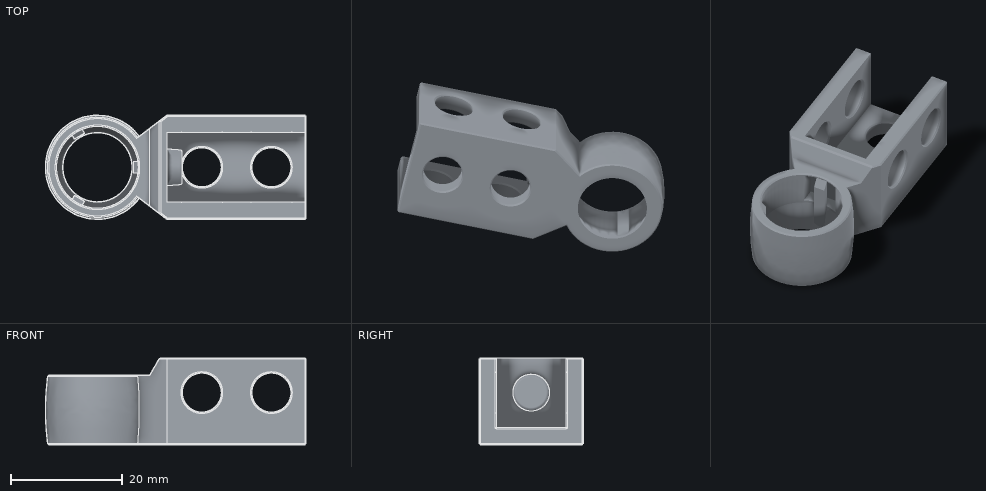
import cadquery as cq
import math

FORK_END_X = 37.5
FORK_START_X = 12.5
FORK_WIDTH = 18.75
FORK_HEIGHT = 15.625
CHEEK_THICKNESS = 3.125
BASE_THICKNESS = 3.125
SLOT_WIDTH = FORK_WIDTH - 2 * CHEEK_THICKNESS
EDGE_CHAMFER = 0.25

HOLE_DIAMETER = 7.0
HOLE_CHAMFER = 0.25
HOLE_POSITIONS_X = (18.75, 31.25)
HOLE_AXIS_Z = (BASE_THICKNESS + FORK_HEIGHT) / 2

RING_HEIGHT = 12.5
RING_MID_RADIUS = 9.375
RING_END_RADIUS = 9.0

BORE_RADIUS = 7.35
BORE_BOTTOM_RADIUS = 6.2
BORE_SHOULDER_Z = 5.5

NECK_START_X = 6.25
NECK_START_HALF_WIDTH = 4.6
NECK_SLOPE_START_X = 9.375
NECK_SLOPE_ANGLE = 60.0

POCKET_HALF_WIDTH = 3.25
POCKET_END_X = 9.25
POCKET_TOP_Z = 12.0
POCKET_FLOOR_Z = 6.0

CATCH_COUNT = 3
CATCH_WIDTH = 2.1
CATCH_INNER_RADIUS = 6.45
CATCH_OUTER_RADIUS = 7.4
CATCH_SLOPE_Z = 10.4
CATCH_TOP_Z = 11.9

BOSS_RADIUS = 3.3
BOSS_TIP_RADIUS = 3.1
BOSS_LENGTH = 2.7
BOSS_TIP_FILLET = 0.4


def make_fork_and_neck():
    """Fork body with its tapering neck cut down to the ring, chamfered at top, bottom and fork end."""
    half_width = FORK_WIDTH / 2
    body = (
        cq.Workplane("XY")
        .moveTo(NECK_START_X, -NECK_START_HALF_WIDTH)
        .lineTo(FORK_START_X, -half_width)
        .lineTo(FORK_END_X, -half_width)
        .lineTo(FORK_END_X, half_width)
        .lineTo(FORK_START_X, half_width)
        .lineTo(NECK_START_X, NECK_START_HALF_WIDTH)
        .close()
        .extrude(FORK_HEIGHT)
    )
    slope_run = (FORK_HEIGHT - RING_HEIGHT) / math.tan(math.radians(NECK_SLOPE_ANGLE))
    neck_relief = (
        cq.Workplane("XZ")
        .moveTo(0, RING_HEIGHT)
        .lineTo(NECK_SLOPE_START_X, RING_HEIGHT)
        .lineTo(NECK_SLOPE_START_X + slope_run, FORK_HEIGHT)
        .lineTo(0, FORK_HEIGHT)
        .close()
        .extrude(half_width, both=True)
    )
    body = body.cut(neck_relief)
    return body.faces(">Z or <Z or >X").edges().chamfer(EDGE_CHAMFER)


def make_slot():
    """Space between the cheeks, open at the top and flared by a chamfer at the fork end."""
    slot_height = FORK_HEIGHT - BASE_THICKNESS
    slot_mid_z = BASE_THICKNESS + slot_height / 2
    slot = (
        cq.Workplane("YZ", origin=(FORK_START_X, 0, slot_mid_z))
        .rect(SLOT_WIDTH, slot_height)
        .extrude(FORK_END_X - FORK_START_X)
    )
    flare = (
        cq.Workplane("YZ", origin=(FORK_END_X - EDGE_CHAMFER, 0, slot_mid_z))
        .rect(SLOT_WIDTH, slot_height)
        .extrude(EDGE_CHAMFER, taper=-45)
    )
    return slot.union(flare)


def chamfered_hole_cutter(length):
    """Cutter along +Z from the origin, widened at both ends to chamfer the hole."""
    radius = HOLE_DIAMETER / 2
    return (
        cq.Workplane("XZ")
        .lineTo(radius + HOLE_CHAMFER, 0)
        .lineTo(radius, HOLE_CHAMFER)
        .lineTo(radius, length - HOLE_CHAMFER)
        .lineTo(radius + HOLE_CHAMFER, length)
        .lineTo(0, length)
        .close()
        .revolve(360, (0, 0, 0), (0, 1, 0))
    )


def drill_fork(body):
    """Drill both cheeks and the base plate at each pin position."""
    cheek_hole = chamfered_hole_cutter(CHEEK_THICKNESS).rotate((0, 0, 0), (1, 0, 0), 90)
    base_hole = chamfered_hole_cutter(BASE_THICKNESS)
    for x in HOLE_POSITIONS_X:
        for cheek_face_y in (FORK_WIDTH / 2, -SLOT_WIDTH / 2):
            body = body.cut(cheek_hole.translate((x, cheek_face_y, HOLE_AXIS_Z)))
        body = body.cut(base_hole.translate((x, 0, 0)))
    return body


def make_boss():
    """Round stub pointing along +X from the closed end of the slot."""
    return (
        cq.Workplane("YZ", origin=(FORK_START_X, 0, HOLE_AXIS_Z))
        .circle(BOSS_RADIUS)
        .workplane(offset=BOSS_LENGTH)
        .circle(BOSS_TIP_RADIUS)
        .loft()
        .faces(">X")
        .edges()
        .fillet(BOSS_TIP_FILLET)
    )


def make_barrel():
    """Solid barrel with chamfered rims, before boring."""
    rim_radius = RING_END_RADIUS - EDGE_CHAMFER
    return (
        cq.Workplane("XZ")
        .lineTo(rim_radius, 0)
        .lineTo(RING_END_RADIUS, EDGE_CHAMFER)
        .threePointArc(
            (RING_MID_RADIUS, RING_HEIGHT / 2),
            (RING_END_RADIUS, RING_HEIGHT - EDGE_CHAMFER),
        )
        .lineTo(rim_radius, RING_HEIGHT)
        .lineTo(0, RING_HEIGHT)
        .close()
        .revolve(360, (0, 0, 0), (0, 1, 0))
    )


def make_bore():
    """Bore cutter: tapered below the shoulder, straight above it, chamfered at the top rim."""
    return (
        cq.Workplane("XZ")
        .lineTo(BORE_BOTTOM_RADIUS, 0)
        .lineTo(BORE_RADIUS, BORE_SHOULDER_Z)
        .lineTo(BORE_RADIUS, RING_HEIGHT - EDGE_CHAMFER)
        .lineTo(BORE_RADIUS + EDGE_CHAMFER, RING_HEIGHT)
        .lineTo(0, RING_HEIGHT)
        .close()
        .revolve(360, (0, 0, 0), (0, 1, 0))
    )


def make_pocket():
    """Rectangular pocket from the bore into the neck, with a flat floor and roof."""
    return cq.Workplane("XY").box(
        POCKET_END_X,
        2 * POCKET_HALF_WIDTH,
        POCKET_TOP_Z - POCKET_FLOOR_Z,
        centered=(False, True, False),
    ).translate((0, 0, POCKET_FLOOR_Z))


def make_catch():
    """Upright catch on the +X side of the bore, with a sloped lead-in at its top."""
    return (
        cq.Workplane("XZ")
        .moveTo(CATCH_INNER_RADIUS, 0)
        .lineTo(CATCH_INNER_RADIUS, CATCH_SLOPE_Z)
        .lineTo(CATCH_OUTER_RADIUS, CATCH_TOP_Z)
        .lineTo(CATCH_OUTER_RADIUS, 0)
        .close()
        .extrude(CATCH_WIDTH / 2, both=True)
    )


fork = make_fork_and_neck().cut(make_slot())
part = drill_fork(fork).union(make_boss()).union(make_barrel())
part = part.cut(make_bore()).cut(make_pocket())
for index in range(CATCH_COUNT):
    turn = index * 360 / CATCH_COUNT
    part = part.union(make_catch().rotate((0, 0, 0), (0, 0, 1), turn))

result = part